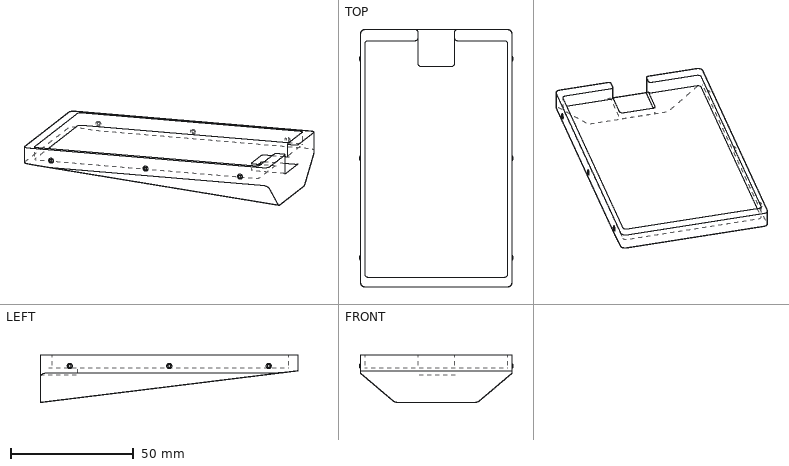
import cadquery as cq
length = 104.8
body_width = 61.8
height = 19.4
corner_radius = 2.0

front_depth = 6.5
side_depth = 7.4
keel_width = 33.5
keel_edge_radius = 3.0

pocket_depth = 5.2
side_wall = 1.8
back_wall = 4.6
front_wall = 4.0
pocket_corner_radius = 1.4

notch_width = 15.0
notch_reach = 15.1
notch_depth = 8.1
notch_corner_radius = 1.4
wall_end_radius = 1.0

nub_height = 0.3
nub_base_diameter = 2.1
nub_tip_diameter = 1.2
nub_spacing = 40.5
nub_depth = 4.5

selection_margin = 0.1

half_length = length / 2
half_width = body_width / 2
half_notch = notch_width / 2


def make_body():
    """Upright bar with splayed lower sides, cut off by the sloping underside."""
    section = [
        (-half_width, 0),
        (half_width, 0),
        (half_width, -side_depth),
        (keel_width / 2, -height),
        (-keel_width / 2, -height),
        (-half_width, -side_depth),
    ]
    side_profile = [
        (-half_length, 0),
        (half_length, 0),
        (half_length, -height),
        (-half_length, -front_depth),
    ]
    bar = cq.Workplane("XZ").polyline(section).close().extrude(half_length, both=True)
    wedge = cq.Workplane("YZ").polyline(side_profile).close().extrude(half_width, both=True)
    body = bar.intersect(wedge)

    keel_edges = cq.selectors.BoxSelector(
        (-half_width, -half_length / 2, -height),
        (half_width, half_length / 2, -side_depth - selection_margin),
    )
    body = body.edges(keel_edges).fillet(keel_edge_radius)

    corners = cq.Workplane("XY").rect(body_width, length).extrude(-height).edges("|Z").fillet(corner_radius)
    return body.intersect(corners)


def make_pocket():
    pocket_length = length - front_wall - back_wall
    return (
        cq.Workplane("XY")
        .center(0, (front_wall - back_wall) / 2)
        .rect(body_width - 2 * side_wall, pocket_length)
        .extrude(-pocket_depth)
        .edges("|Z")
        .fillet(pocket_corner_radius)
    )


def make_notch():
    return (
        cq.Workplane("XY")
        .center(0, half_length - notch_reach / 2)
        .rect(notch_width, notch_reach)
        .extrude(-notch_depth)
        .edges("|Z and <Y")
        .fillet(notch_corner_radius)
    )


def make_nub(side, y):
    """Tapered nub on the +X (side = 1) or -X (side = -1) wall."""
    nub = cq.Solid.makeCone(
        nub_base_diameter / 2,
        nub_tip_diameter / 2,
        nub_height,
        pnt=cq.Vector(side * half_width, y, -nub_depth),
        dir=cq.Vector(side, 0, 0),
    )
    return cq.Workplane(nub)


def round_wall_ends(tray):
    """Round the upright inner and outer edges where the notch splits the back wall."""
    wall_ends = cq.selectors.BoxSelector(
        (-half_notch - selection_margin, half_length - back_wall - selection_margin, -notch_depth),
        (half_notch + selection_margin, half_length + selection_margin, 0),
    )
    return tray.edges("|Z").edges(wall_ends).fillet(wall_end_radius)


result = round_wall_ends(make_body().cut(make_pocket()).cut(make_notch()))
for side in (-1, 1):
    for y in (-nub_spacing, 0, nub_spacing):
        result = result.union(make_nub(side, y))